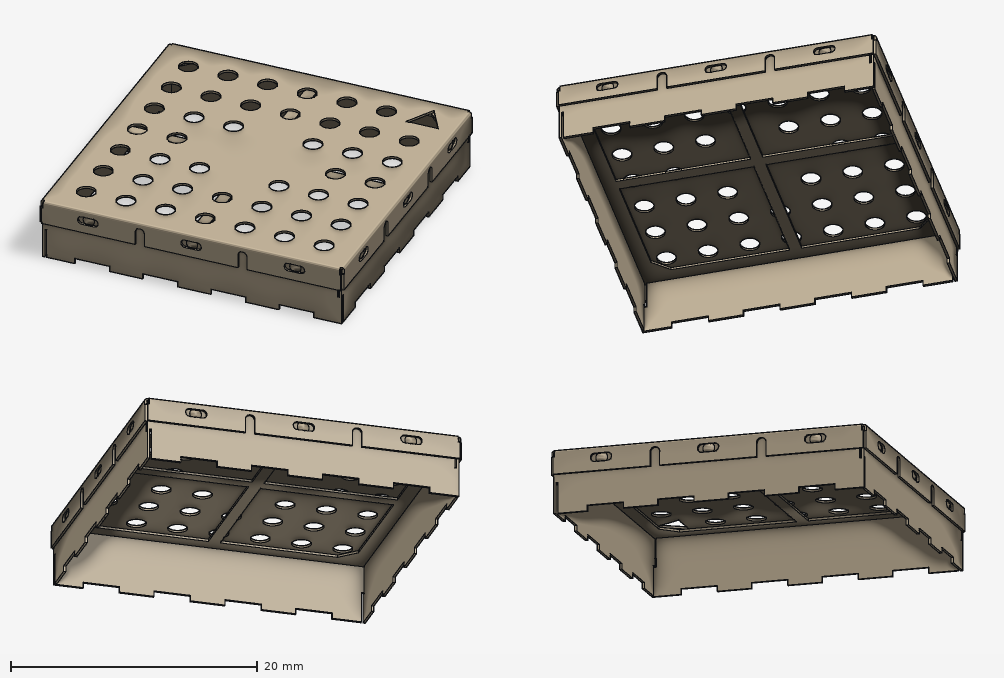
import cadquery as cq
import math

outer_side = 26.82
total_height = 5.3
sheet = 0.2

skirt_height = 2.05
bend_radius = 0.25
corner_relief_side = 0.32
corner_relief_depth = 0.55
hole_pitch = 3.5
hole_diameter = 1.6
holes_per_side = 7
arrow_side = 2.85

snap_spacing = 9.12
snap_slot_length = 1.8
snap_slot_height = 0.7
snap_depth = 0.9
bump_diameter = 1.0
bump_height = 0.2
bump_foot_height = 0.1
bump_cap_diameter = 0.6
slit_offset = 4.53
slit_width = 0.8
slit_top_depth = 0.45

rim_width = 1.408
rim_corner_chamfer = 1.35
bar_width = 1.02
notch_count = 4
notch_pitch = 6.0
notch_width = 3.08
notch_height = 0.48
notch_shift = 0.2
joint_gap = 0.15
joint_lower_top = 2.6
joint_upper_bottom = 2.5

half_outer = outer_side / 2
frame_side = outer_side - 2 * sheet
half_frame = frame_side / 2
frame_top = total_height - sheet
skirt_bottom = total_height - skirt_height
snap_z = total_height - snap_depth
snap_positions = [(x, snap_z) for x in (-snap_spacing, 0, snap_spacing)]
cap_rise = bump_height - bump_foot_height
cap_radius = bump_cap_diameter / 2
cap_ball_radius = (cap_radius**2 + cap_rise**2) / (2 * cap_rise)


def block(x_range, y_range, z_range):
    """Box spanning the given lower and upper limits on each axis."""
    limits = (x_range, y_range, z_range)
    sizes = [high - low for low, high in limits]
    lows = [low for low, high in limits]
    return cq.Workplane("XY").box(*sizes, centered=False).translate(tuple(lows))


def on_four_sides(front_shape):
    """The -Y side's shape together with its copies on the other three sides."""
    copies = front_shape
    for quarter in (1, 2, 3):
        copies = copies.add(front_shape.rotate((0, 0, 0), (0, 0, 1), 90 * quarter).vals())
    return copies


def front_snap_slots():
    """Rounded slot volumes filling the thickness of the -Y skirt."""
    return (
        cq.Workplane("XZ", origin=(0, -half_frame, 0))
        .pushPoints(snap_positions)
        .slot2D(snap_slot_length, snap_slot_height)
        .extrude(sheet)
    )


def front_skirt_slits():
    """Round-topped slits that divide the -Y skirt into three fingers."""
    slit_top = total_height - slit_top_depth
    shoulder = slit_top - slit_width / 2
    slits = cq.Workplane("XZ", origin=(0, -half_frame, 0))
    for centre in (-slit_offset, slit_offset):
        slits = (
            slits.moveTo(centre - slit_width / 2, skirt_bottom)
            .lineTo(centre - slit_width / 2, shoulder)
            .threePointArc((centre, slit_top), (centre + slit_width / 2, shoulder))
            .lineTo(centre + slit_width / 2, skirt_bottom)
            .close()
        )
    return slits.extrude(sheet)


def vent_hole_points():
    """Square grid without its five middle holes and the arrow's corner."""
    last = holes_per_side // 2
    steps = range(-last, last + 1)
    return [
        (column * hole_pitch, row * hole_pitch)
        for column in steps
        for row in steps
        if abs(column) + abs(row) > 1 and (column, row) != (last, last)
    ]


def make_cover():
    cover = (
        cq.Workplane("XY", origin=(0, 0, skirt_bottom))
        .rect(outer_side, outer_side)
        .extrude(skirt_height)
        .faces(">Z")
        .edges()
        .fillet(bend_radius)
    )
    cavity = (
        cq.Workplane("XY", origin=(0, 0, skirt_bottom))
        .rect(frame_side, frame_side)
        .extrude(skirt_height - sheet)
    )
    cover = cover.cut(cavity)

    corner_gap = block(
        (-half_outer, -half_frame), (-half_outer, -half_frame), (skirt_bottom, total_height)
    )
    relief_inner = -half_outer + corner_relief_side
    corner_relief = block(
        (-half_outer, relief_inner),
        (-half_outer, relief_inner),
        (total_height - corner_relief_depth, total_height),
    )
    for cutter in (corner_gap, corner_relief, front_snap_slots(), front_skirt_slits()):
        for solid in on_four_sides(cutter).vals():
            cover = cover.cut(cq.Workplane(solid))

    plate = cq.Workplane("XY", origin=(0, 0, frame_top))
    vents = plate.pushPoints(vent_hole_points()).circle(hole_diameter / 2).extrude(sheet)
    arrow_centre = holes_per_side // 2 * hole_pitch
    arrow_height = arrow_side * math.sqrt(3) / 2
    arrow_base = arrow_centre - arrow_height / 3
    arrow = (
        plate.moveTo(arrow_centre - arrow_side / 2, arrow_base)
        .lineTo(arrow_centre + arrow_side / 2, arrow_base)
        .lineTo(arrow_centre, arrow_base + arrow_height)
        .close()
        .extrude(sheet)
    )
    return cover.cut(vents).cut(arrow)


def front_notches():
    """Row of notches along the lower edge of the -Y wall."""
    row = [notch_shift + (i - (notch_count - 1) / 2) * notch_pitch for i in range(notch_count)]
    return (
        cq.Workplane("XZ", origin=(0, -half_frame + sheet, 0))
        .pushPoints([(x, notch_height / 2) for x in row])
        .rect(notch_width, notch_height)
        .extrude(sheet)
    )


def front_joint_gaps():
    """Gaps beside the corners: low at the -X end of the -Y wall, high at its +X end."""
    inner = half_frame - sheet
    wall = (-half_frame, -inner)
    low_gap = block((-inner, -inner + joint_gap), wall, (0, joint_lower_top))
    high_gap = block((inner - joint_gap, inner), wall, (joint_upper_bottom, frame_top - sheet))
    return low_gap.add(high_gap.vals())


def front_bumps():
    """Domed bumps on the -Y wall, limited to the outline of the snap slots."""
    half_arc = math.asin(cap_radius / cap_ball_radius) / 2
    arc_middle = (
        cap_ball_radius * math.sin(half_arc),
        -bump_height + cap_ball_radius * (1 - math.cos(half_arc)),
    )
    bump = (
        cq.Workplane("XY")
        .lineTo(bump_diameter / 2, 0)
        .lineTo(cap_radius, -bump_foot_height)
        .threePointArc(arc_middle, (0, -bump_height))
        .close()
        .revolve(360, (0, 0), (0, 1))
    )
    bumps = cq.Workplane("XY")
    for x, z in snap_positions:
        bumps = bumps.add(bump.translate((x, -half_frame, z)).vals())
    return front_snap_slots().intersect(bumps.combine())


def make_frame():
    frame = cq.Workplane("XY").rect(frame_side, frame_side).extrude(frame_top)
    inner_side = frame_side - 2 * sheet
    interior = cq.Workplane("XY").rect(inner_side, inner_side).extrude(frame_top - sheet)

    opening_side = frame_side - 2 * rim_width
    opening = (
        cq.Workplane("XY", origin=(0, 0, frame_top - sheet))
        .rect(opening_side, opening_side)
        .extrude(sheet)
        .edges("|Z")
        .chamfer(rim_corner_chamfer)
    )
    bar = (
        cq.Workplane("XY", origin=(0, 0, frame_top - sheet))
        .rect(bar_width, opening_side)
        .extrude(sheet)
    )
    bars = bar.union(bar.rotate((0, 0, 0), (0, 0, 1), 90))
    frame = frame.cut(interior).cut(opening.cut(bars))

    for cutter in (front_notches(), front_joint_gaps()):
        for solid in on_four_sides(cutter).vals():
            frame = frame.cut(cq.Workplane(solid))
    for bump in on_four_sides(front_bumps()).vals():
        frame = frame.union(cq.Workplane(bump))
    return frame


cover = make_cover()
frame = make_frame()

result = cq.Compound.makeCompound([cover.solids().val(), frame.solids().val()])